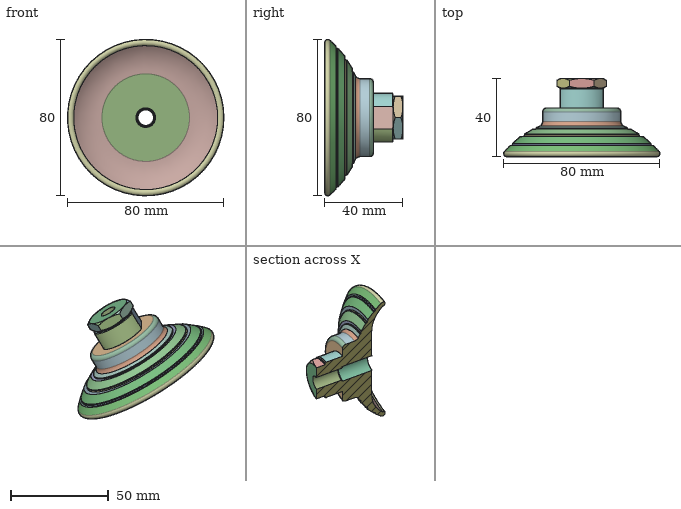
import cadquery as cq
import math


rim_outer_radius = 40.0
rim_round = 1.6
rim_centre = rim_outer_radius - rim_round
floor_radius = 22.4
floor_y = 7.8
flare_angle = math.radians(45)
lip_height = 0.5

skirt_steps = (
    (36.6, 5.8, 35.8, 5.8, 35.4, 6.4),
    (31.6, 10.2, 29.8, 10.5, 29.4, 11.0),
    (25.1, 14.2, 23.5, 14.2, 23.4, 14.3),
)

collar_radius = 20.0
collar_bottom = 18.0
collar_top = 25.0
collar_round = 2.0
neck_radius = 21.1
neck_y = 15.8
neck_mid_radius = 20.4
neck_mid_y = 16.8

stem_radius = 12.5
stem_chamfer = 0.5
stem_across_flats = 22.2
hex_across_flats = 22.0
hex_bottom = 35.0
part_length = rim_outer_radius
hex_corner_radius = hex_across_flats / math.sqrt(3)
hex_chamfer_angle = math.radians(30)

bore_diameter = 8.0
entry_diameter = 10.0
entry_end = collar_top
countersink_diameter = 9.1


def revolve_about_y(profile):
    return profile.close().revolve(360, (0, 0, 0), (0, 1, 0))


def cylinder(radius, start, end):
    return revolve_about_y(
        cq.Workplane("XY")
        .moveTo(0, start)
        .lineTo(radius, start)
        .lineTo(radius, end)
        .lineTo(0, end)
    )


def make_cup():
    hollow_width = rim_centre - rim_round - floor_radius
    hollow_depth = floor_y - rim_round
    hollow_radius = (hollow_width**2 + hollow_depth**2) / (2 * hollow_depth)
    hollow_half_angle = math.atan2(hollow_depth, hollow_width)
    hollow_mid = (
        floor_radius + hollow_radius * math.sin(hollow_half_angle),
        floor_y - hollow_radius * (1 - math.cos(hollow_half_angle)),
    )
    rim_mid_angle = (flare_angle - math.pi) / 2
    rim_mid = (
        rim_centre + rim_round * math.cos(rim_mid_angle),
        rim_round + rim_round * math.sin(rim_mid_angle),
    )
    rim_end = (
        rim_centre + rim_round * math.cos(flare_angle),
        rim_round + rim_round * math.sin(flare_angle),
    )
    profile = (
        cq.Workplane("XY")
        .moveTo(0, floor_y)
        .lineTo(floor_radius, floor_y)
        .threePointArc(hollow_mid, (rim_centre - rim_round, rim_round))
        .threePointArc(rim_mid, rim_end)
    )
    for outer_radius, outer_y, inner_radius, inner_y, lip_radius, lip_y in skirt_steps:
        profile = (
            profile.lineTo(outer_radius, outer_y)
            .lineTo(inner_radius, inner_y)
            .lineTo(lip_radius, lip_y)
            .lineTo(lip_radius, lip_y + lip_height)
        )
    profile = (
        profile.lineTo(neck_radius, neck_y)
        .threePointArc((neck_mid_radius, neck_mid_y), (collar_radius, collar_bottom))
        .lineTo(collar_radius, collar_top - collar_round)
        .radiusArc((collar_radius - collar_round, collar_top), -collar_round)
        .lineTo(0, collar_top)
    )
    return revolve_about_y(profile)


def make_stem():
    stem = cylinder(stem_radius, floor_y, hex_bottom).faces(">Y").chamfer(stem_chamfer)
    stem_length = hex_bottom - collar_top
    flats = cq.Workplane("XY").box(
        stem_across_flats, stem_length, 2 * stem_radius
    ).translate((0, collar_top + stem_length / 2, 0))
    return stem.intersect(flats)


def make_hexagon():
    hexagon = (
        cq.Workplane("XZ", origin=(0, part_length, 0))
        .polygon(6, 2 * hex_corner_radius)
        .extrude(part_length - hex_bottom)
    )
    face_radius = hex_across_flats / 2
    corner_drop = (hex_corner_radius - face_radius) * math.tan(hex_chamfer_angle)
    envelope = revolve_about_y(
        cq.Workplane("XY")
        .moveTo(0, hex_bottom)
        .lineTo(face_radius, hex_bottom)
        .lineTo(hex_corner_radius, hex_bottom + corner_drop)
        .lineTo(hex_corner_radius, part_length - corner_drop)
        .lineTo(face_radius, part_length)
        .lineTo(0, part_length)
    )
    return hexagon.intersect(envelope)


def make_bore():
    countersink_depth = (countersink_diameter - bore_diameter) / 2
    return revolve_about_y(
        cq.Workplane("XY")
        .lineTo(entry_diameter / 2, 0)
        .lineTo(entry_diameter / 2, entry_end)
        .lineTo(countersink_diameter / 2, entry_end)
        .lineTo(bore_diameter / 2, entry_end + countersink_depth)
        .lineTo(bore_diameter / 2, part_length)
        .lineTo(0, part_length)
    )


result = make_cup().union(make_stem()).union(make_hexagon()).cut(make_bore())